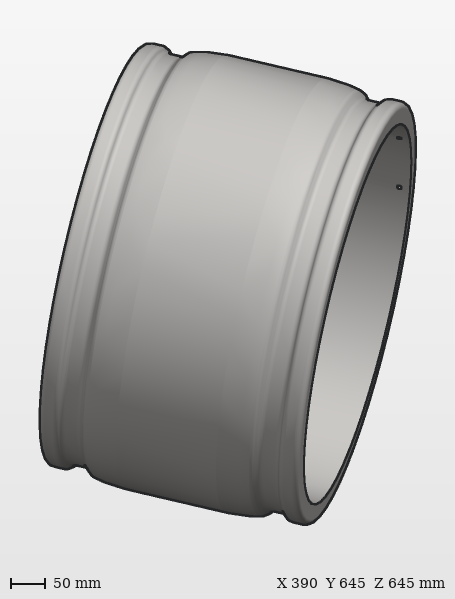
import cadquery as cq
import math

length = 390.0
bore_radius = 282.0
crown_radius = 322.5
collar_radius = 314.0
groove_radius = 305.0

half_length = length / 2
crown_flat_end = 75.0
shoulder_start = 122.5
groove_inner_end = 140.0
groove_outer_end = 157.5
collar_inner_end = 173.0

collar_edge_radius = 9.0
crown_blend_radius = 193.5
shoulder_foot_radius = 9.5
shoulder_slope = math.radians(45)
shoulder_ramp = 4.0

hole_diameter = 6.5
hole_angle = 12.5
hole_inset = 16.0

collar_outer_end = half_length - collar_edge_radius
collar_blend_middle = (
    (groove_outer_end + collar_inner_end) / 2,
    (groove_radius + collar_radius) / 2,
)
ramp_foot = (
    groove_inner_end - shoulder_foot_radius * math.sin(shoulder_slope),
    groove_radius + shoulder_foot_radius * (1 - math.cos(shoulder_slope)),
)
ramp_top = (
    ramp_foot[0] - shoulder_ramp,
    ramp_foot[1] + shoulder_ramp * math.tan(shoulder_slope),
)
crown_blend_angle = math.asin((shoulder_start - crown_flat_end) / crown_blend_radius)


def crown_blend_point(angle):
    """Point on the crown's blend arc, turned by an angle from its tangent start."""
    return (
        crown_flat_end + crown_blend_radius * math.sin(angle),
        crown_radius - crown_blend_radius * (1 - math.cos(angle)),
    )


crown_blend_middle = crown_blend_point(crown_blend_angle / 2)
shoulder_top = crown_blend_point(crown_blend_angle)


def make_solid_end():
    """Revolve the +X end, from the flat crown to the end face, as a solid about the X axis."""
    section = (
        cq.Workplane("XZ")
        .moveTo(crown_flat_end, 0)
        .lineTo(crown_flat_end, crown_radius)
        .threePointArc(crown_blend_middle, shoulder_top)
        .tangentArcPoint(ramp_top, relative=False)
        .lineTo(*ramp_foot)
        .tangentArcPoint((groove_inner_end, groove_radius), relative=False)
        .lineTo(groove_outer_end, groove_radius)
        .tangentArcPoint(collar_blend_middle, relative=False)
        .tangentArcPoint((collar_inner_end, collar_radius), relative=False)
        .lineTo(collar_outer_end, collar_radius)
        .tangentArcPoint((half_length, collar_radius - collar_edge_radius), relative=False)
        .lineTo(half_length, 0)
        .close()
    )
    return section.revolve(360, (0, 0, 0), (1, 0, 0))


def make_cylinder(radius, total_length):
    """Cylinder along the X axis, centred on the middle plane."""
    return cq.Workplane("YZ").circle(radius).extrude(total_length / 2, both=True)


def make_hole_cutter(x, angle):
    """Radial drill reaching from the axis through the +Y wall, turned about X."""
    drill = cq.Solid.makeCylinder(
        hole_diameter / 2, crown_radius, cq.Vector(x, 0, 0), cq.Vector(0, 1, 0)
    )
    return drill.rotate(cq.Vector(0, 0, 0), cq.Vector(1, 0, 0), angle)


solid_end = make_solid_end()
crown = make_cylinder(crown_radius, 2 * crown_flat_end)
bore = make_cylinder(bore_radius, length)
result = crown.union(solid_end).union(solid_end.mirror("YZ")).cut(bore)

hole_position = half_length - hole_inset
for x in (-hole_position, hole_position):
    for angle in (-hole_angle, hole_angle):
        result = result.cut(make_hole_cutter(x, angle))